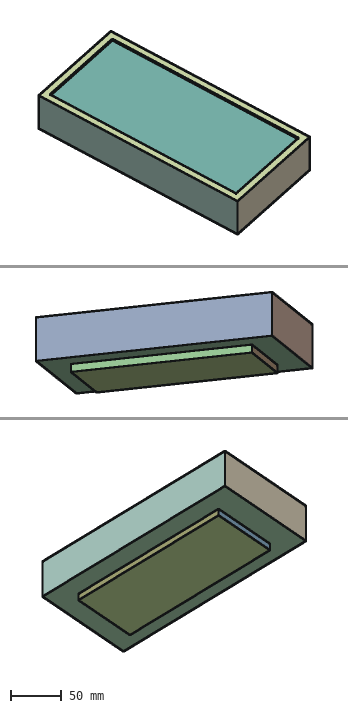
import cadquery as cq

length = 247.0
width = 116.0
total_height = 53.0

plinth_length = 189.5
plinth_width = 73.5
plinth_height = 8.2
block_height = total_height - plinth_height

rim = 8.0
recess_depth = 2.0

block = cq.Workplane("XY").box(length, width, block_height, centered=(True, True, False))

plinth = (
    cq.Workplane("XY")
    .workplane(offset=-plinth_height)
    .rect(plinth_length, plinth_width)
    .extrude(plinth_height)
)

recess = (
    cq.Workplane("XY")
    .workplane(offset=block_height - recess_depth)
    .rect(length - 2 * rim, width - 2 * rim)
    .extrude(recess_depth)
)

result = block.union(plinth).cut(recess)